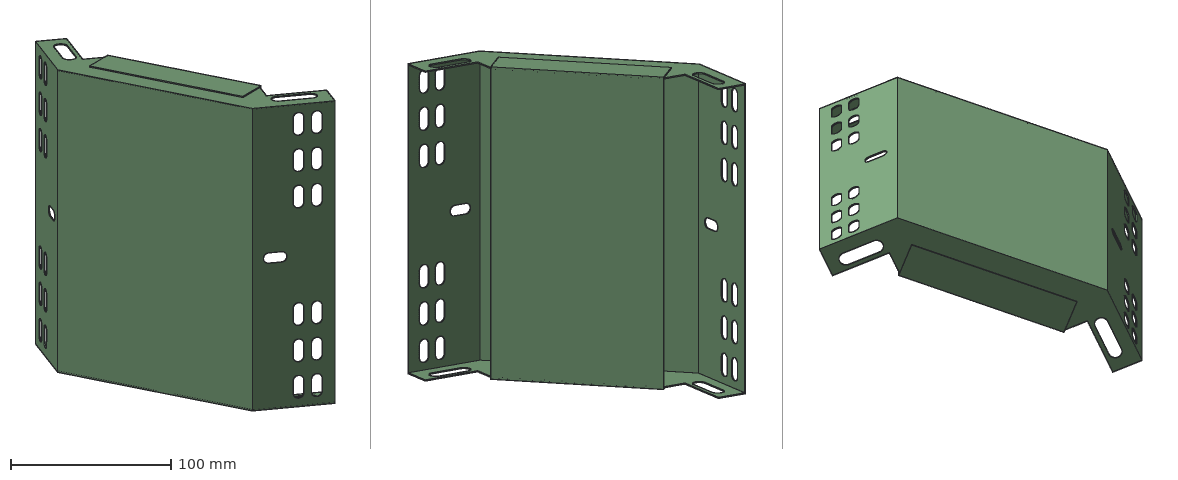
import cadquery as cq
import math

OVERALL_WIDTH = 216.0
OVERALL_DEPTH = 52.0
OVERALL_HEIGHT = 203.0
SHEET = 0.8

FRONT_WIDTH = 140.5
WING_ANGLE = 45.0
NOTCH_FROM_WING_END = 39.0

BRACKET_WIDTH = 110.6
BRACKET_BACK = 36.7
BRACKET_DEPTH = 22.7

SLOT_LENGTH = 15.1
SLOT_WIDTH = 7.0
SLOT_ROW_FIRST = 39.1
SLOT_ROW_PITCH = 24.2
SLOT_ROWS = 3
SLOT_COLUMNS = (11.7, 23.5)
CENTER_SLOT_COLUMN = 38.7

FLANGE_SLOT_LENGTH = 29.5
FLANGE_SLOT_WIDTH = 8.6
FLANGE_SLOT_FROM_END = 23.0
FLANGE_SLOT_FROM_WING = 13.0

wing_sin = math.sin(math.radians(WING_ANGLE))
wing_cos = math.cos(math.radians(WING_ANGLE))
wing_length = (OVERALL_WIDTH - FRONT_WIDTH) / 2 / wing_cos
flange_depth = (OVERALL_DEPTH - wing_length * wing_sin) / wing_cos
tray_height = OVERALL_HEIGHT - 2 * SHEET
middle_flange_back = BRACKET_BACK - SHEET
bend_shift = SHEET * math.tan(math.radians(WING_ANGLE / 2))


def wing_point(from_end, from_face):
    """Plan position on the right wing, from its free end and from its outer face."""
    along = wing_length - from_end
    x = FRONT_WIDTH / 2 + along * wing_cos - from_face * wing_sin
    y = along * wing_sin + from_face * wing_cos
    return x, y


def mirrored_outline(right_points):
    """Closed outline from its right half, listed from front to back."""
    left_points = [(-x, y) for x, y in reversed(right_points)]
    return cq.Workplane("XY").polyline(right_points + left_points).close()


def make_walls():
    """Front panel and both wings as one bent sheet."""
    outline = mirrored_outline([
        (FRONT_WIDTH / 2, 0),
        wing_point(0, 0),
        wing_point(0, SHEET),
        (FRONT_WIDTH / 2 - bend_shift, SHEET),
    ])
    return outline.extrude(tray_height / 2, both=True)


def make_flange():
    """Notched flange with its underside at the XY plane."""
    notch = wing_point(NOTCH_FROM_WING_END, flange_depth)
    side_run = (middle_flange_back - notch[1]) * wing_sin / wing_cos
    flange = mirrored_outline([
        (FRONT_WIDTH / 2, 0),
        wing_point(0, 0),
        wing_point(0, flange_depth),
        notch,
        (notch[0] - side_run, middle_flange_back),
    ]).extrude(SHEET)
    x, y = wing_point(FLANGE_SLOT_FROM_END, FLANGE_SLOT_FROM_WING)
    for side in (-1, 1):
        slot = (
            cq.Workplane("XY")
            .center(side * x, y)
            .slot2D(FLANGE_SLOT_LENGTH, FLANGE_SLOT_WIDTH, side * WING_ANGLE)
            .extrude(SHEET)
        )
        flange = flange.cut(slot)
    return flange


def wing_slot(side, from_end, height, turn):
    """Cutter for one slot square through a wing; side is -1 for left and 1 for right."""
    x, y = wing_point(from_end, SHEET / 2)
    plane = cq.Plane(
        origin=(side * x, y, height),
        xDir=(side * wing_cos, wing_sin, 0),
        normal=(side * wing_sin, -wing_cos, 0),
    )
    slot = cq.Workplane(plane).slot2D(SLOT_LENGTH, SLOT_WIDTH, turn)
    return slot.extrude(SHEET, both=True)


def make_tray():
    """Bent walls with both flanges and all wing slots."""
    tray = make_walls()
    for z in (-tray_height / 2, tray_height / 2 - SHEET):
        tray = tray.union(make_flange().translate((0, 0, z)))
    for side in (-1, 1):
        tray = tray.cut(wing_slot(side, CENTER_SLOT_COLUMN, 0, 0))
        for row in range(SLOT_ROWS):
            height = SLOT_ROW_FIRST + row * SLOT_ROW_PITCH
            for from_end in SLOT_COLUMNS:
                tray = tray.cut(wing_slot(side, from_end, height, 90))
                tray = tray.cut(wing_slot(side, from_end, -height, 90))
    return tray


def make_bracket():
    """C-shaped cover: a back plate with a lip over each tray flange."""
    block = cq.Workplane("XY").box(
        BRACKET_WIDTH, BRACKET_DEPTH, OVERALL_HEIGHT, centered=(True, False, True)
    )
    inside = cq.Workplane("XY").box(
        BRACKET_WIDTH, BRACKET_DEPTH - SHEET, tray_height, centered=(True, False, True)
    )
    return block.cut(inside).translate((0, BRACKET_BACK - BRACKET_DEPTH, 0))


tray = make_tray()
bracket = make_bracket()

result = cq.Compound.makeCompound([tray.val(), bracket.val()])